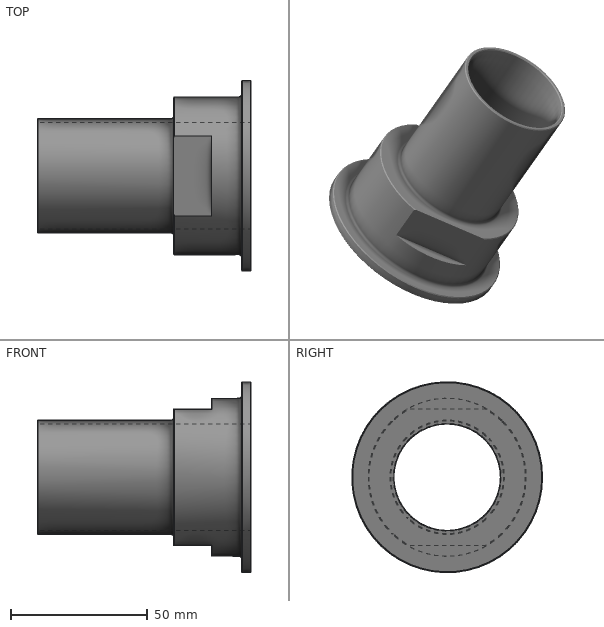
import cadquery as cq
import math

total_length = 78.5
tube_length = 50.0
flat_length = 14.0
flange_thickness = 3.5

bore_diameter = 39.0
tube_diameter = 42.0
collar_diameter = 58.0
flange_diameter = 70.0
flats_width = 50.0

root_fillet = 0.95
edge_chamfer = 0.3

bore_radius = bore_diameter / 2
tube_radius = tube_diameter / 2
collar_radius = collar_diameter / 2
flange_radius = flange_diameter / 2
flange_start = total_length - flange_thickness


def add_root_fillet(profile, x, radius):
    """Add the concave rounding where a cylinder runs into the face at x."""
    inset = root_fillet * (1 - math.sqrt(0.5))
    return profile.lineTo(x - root_fillet, radius).threePointArc(
        (x - inset, radius + inset), (x, radius + root_fillet)
    )


def add_chamfered_edge(profile, x, radius):
    """Add a chamfer between the left-hand face at x and the cylinder that starts there."""
    return profile.lineTo(x, radius - edge_chamfer).lineTo(x + edge_chamfer, radius)


profile = cq.Workplane("XY").moveTo(edge_chamfer, bore_radius).lineTo(0, bore_radius + edge_chamfer)
profile = add_chamfered_edge(profile, 0, tube_radius)
profile = add_root_fillet(profile, tube_length, tube_radius)
profile = add_chamfered_edge(profile, tube_length, collar_radius)
profile = add_root_fillet(profile, flange_start, collar_radius)
profile = add_chamfered_edge(profile, flange_start, flange_radius)
profile = profile.lineTo(total_length - edge_chamfer, flange_radius)
profile = profile.lineTo(total_length, flange_radius - edge_chamfer)
profile = profile.lineTo(total_length, bore_radius).close()
body = profile.revolve(360, (0, 0, 0), (1, 0, 0))

flat_depth = (collar_diameter - flats_width) / 2
flat_cutter = cq.Workplane("XY").box(flat_length, collar_diameter, flat_depth)
flat_center_x = tube_length + flat_length / 2
for side in (-1, 1):
    flat_center_z = side * (flats_width + flat_depth) / 2
    body = body.cut(flat_cutter.translate((flat_center_x, 0, flat_center_z)))

result = body